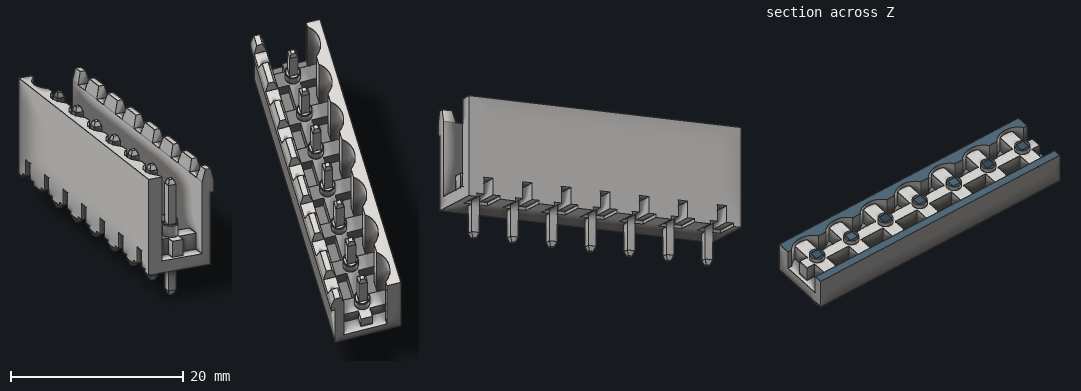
import cadquery as cq


pin_count = 7
pitch = 5.0
length = pin_count * pitch
pin_places = [(i - (pin_count - 1) / 2) * pitch for i in range(pin_count)]

front_y = -4.0
back_y = 3.95
height = 12.0
floor_top = 1.5
front_wall = 1.7
back_wall = 1.05
front_inner_y = front_y + front_wall
back_inner_y = back_y - back_wall

lip_reach = 0.45
lip_y = back_y + lip_reach
lip_bottom = 9.0
tooth_root = 10.5
tooth_face_inset = 0.4
tooth_side_inset = 0.3
tooth_gap = 1.8

scallop_depth = 0.95
scallop_half_width = 1.95
scallop_radius = (scallop_half_width**2 + scallop_depth**2) / (2 * scallop_depth)
scallop_bottom_y = front_inner_y - scallop_depth
scallop_centre_y = scallop_bottom_y + scallop_radius

block_width = tooth_gap
block_top = 3.5
rib_width = 1.4
rib_end_gap = 0.5
collar_top = 5.0
collar_chamfer = 0.1

slot_width = 1.2
slot_height = 2.4
relief_width = 3.0
relief_height = 0.4

pin_size = 1.0
pin_top = 10.5
pin_bottom = -3.9
pin_taper = 0.6
pin_tip_size = 0.5


def box(x_min, x_max, y_min, y_max, z_min, z_max):
    """Box between two opposite corners."""
    return cq.Workplane("XY").box(
        x_max - x_min, y_max - y_min, z_max - z_min, centered=False
    ).translate((x_min, y_min, z_min))


def centred_box(x, width, y_min, y_max, z_min, z_max):
    """Box centred on x along the row."""
    return box(x - width / 2, x + width / 2, y_min, y_max, z_min, z_max)


def make_channel():
    """U-shaped section with the latch lip and tapered top of the back wall."""
    section = [
        (front_y, 0),
        (back_y, 0),
        (back_y, lip_bottom),
        (lip_y, lip_bottom),
        (lip_y, tooth_root),
        (lip_y - tooth_face_inset, height),
        (back_inner_y + tooth_face_inset, height),
        (back_inner_y, tooth_root),
        (back_inner_y, floor_top),
        (front_inner_y, floor_top),
        (front_inner_y, height),
        (front_y, height),
    ]
    return cq.Workplane("YZ").polyline(section).close().extrude(length / 2, both=True)


def make_tooth_gap(x):
    """Gap between two teeth, widening upward because the tooth sides slope."""
    half_root = tooth_gap / 2
    half_top = half_root + tooth_side_inset
    outline = [
        (x - half_root, tooth_root),
        (x + half_root, tooth_root),
        (x + half_top, height),
        (x - half_top, height),
    ]
    return (
        cq.Workplane("XZ", origin=(0, lip_y, 0))
        .polyline(outline)
        .close()
        .extrude(lip_y - back_inner_y)
    )


def make_scallop(x):
    """Round recess down the inner face of the front wall, ending at the floor."""
    return (
        cq.Workplane("XY", origin=(x, scallop_centre_y, floor_top))
        .circle(scallop_radius)
        .extrude(height - floor_top)
    )


def make_collar(x):
    """Round collar standing on a block, around the pin."""
    return (
        cq.Workplane("XY", origin=(x, 0, block_top))
        .circle(block_width / 2)
        .extrude(collar_top - block_top)
        .faces(">Z")
        .chamfer(collar_chamfer)
    )


def make_pin(x):
    """Square pin with a tapered tip at each end."""
    shank_bottom = pin_bottom + pin_taper
    shank_top = pin_top - pin_taper
    shank = centred_box(x, pin_size, -pin_size / 2, pin_size / 2, shank_bottom, shank_top)
    top_tip = (
        cq.Workplane("XY", origin=(x, 0, shank_top))
        .rect(pin_size, pin_size)
        .workplane(offset=pin_taper)
        .rect(pin_tip_size, pin_tip_size)
        .loft()
    )
    middle = (pin_top + pin_bottom) / 2
    bottom_tip = top_tip.mirror("XY", (0, 0, middle))
    return shank.union(top_tip).union(bottom_tip)


def make_housing():
    """Channel with teeth, scallops, pin supports, front openings and pin holes."""
    housing = make_channel()
    for x in pin_places:
        housing = housing.cut(make_tooth_gap(x)).cut(make_scallop(x))

    rib_end = length / 2 - rib_end_gap
    rib = box(-rib_end, rib_end, -rib_width / 2, rib_width / 2, floor_top, block_top)
    housing = housing.union(rib)
    for x in pin_places:
        block = centred_box(x, block_width, scallop_bottom_y, back_inner_y, floor_top, block_top)
        housing = housing.union(block).union(make_collar(x))

    opening_end = -pin_size / 2
    for x in pin_places:
        slot = centred_box(x, slot_width, front_y, opening_end, 0, slot_height)
        relief = centred_box(x, relief_width, front_y, opening_end, 0, relief_height)
        pin_hole = centred_box(x, pin_size, -pin_size / 2, pin_size / 2, 0, collar_top)
        housing = housing.cut(slot).cut(relief).cut(pin_hole)
    return housing


housing = make_housing()
pins = [make_pin(x) for x in pin_places]

result = cq.Compound.makeCompound([body.solids().val() for body in [housing, *pins]])